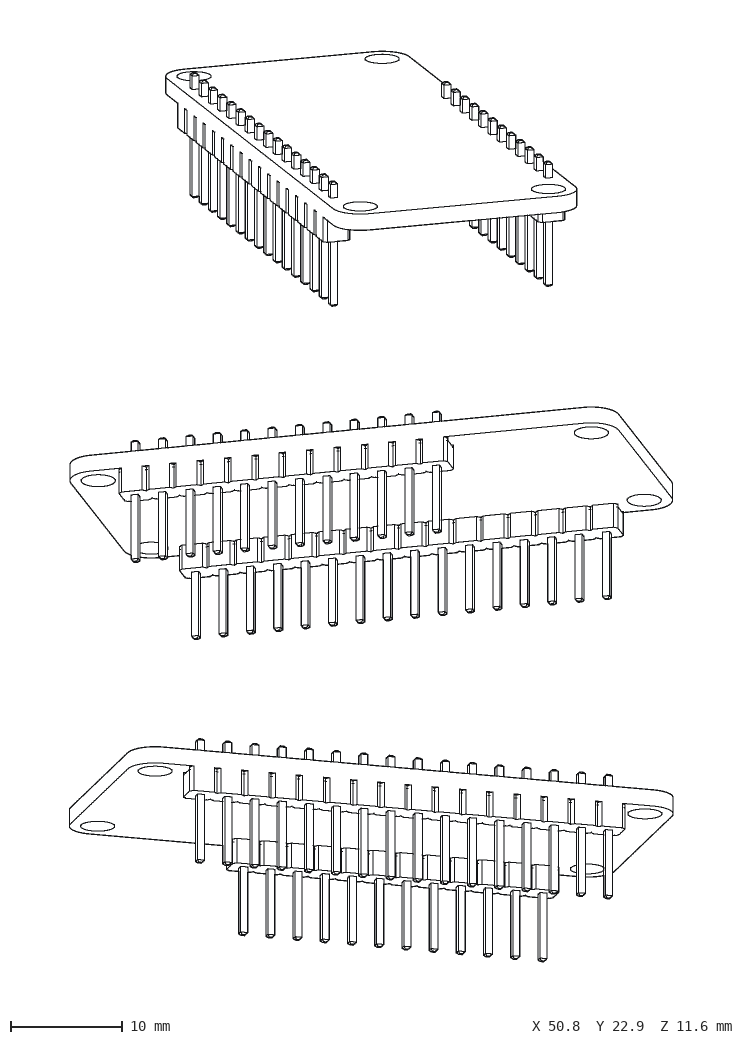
import cadquery as cq

board_length = 50.8
board_width = 22.85
board_thickness = 1.5
corner_radius = 2.55
mount_hole_diameter = 3.05

pitch = 2.55
row_offset = 10.15
front_pin_count = 16
back_pin_count = 12
last_pin_x = (front_pin_count - 1) * pitch / 2
header_height = 2.3
cell_chamfer = 0.3
channel_depth = 0.25
neck_wall = 0.025
channel_width = pitch - 2 * (cell_chamfer + neck_wall)

pin_width = 0.65
pin_length = 11.55
pin_rise = 1.4
pin_tip_chamfer = 0.18

pin_top = board_thickness + pin_rise
pin_bottom = pin_top - pin_length


def make_board():
    """Rounded plate with a mounting hole concentric with each corner."""
    plate = cq.Workplane("XY").box(
        board_length, board_width, board_thickness, centered=(True, True, False)
    )
    plate = plate.edges("|Z").fillet(corner_radius)
    hole_spacing_x = board_length - 2 * corner_radius
    hole_spacing_y = board_width - 2 * corner_radius
    return (
        plate.faces(">Z")
        .workplane()
        .rect(hole_spacing_x, hole_spacing_y, forConstruction=True)
        .vertices()
        .hole(mount_hole_diameter)
    )


def make_cell():
    """One octagonal block of a header, hanging below the board."""
    block = cq.Workplane("XY").box(pitch, pitch, header_height, centered=(True, True, False))
    return block.edges("|Z").chamfer(cell_chamfer).translate((0, 0, -header_height))


def make_pin():
    """Square pin with both ends tapered."""
    pin = cq.Workplane("XY").box(pin_width, pin_width, pin_length, centered=(True, True, False))
    return pin.faces("<Z or >Z").chamfer(pin_tip_chamfer).translate((0, 0, pin_bottom))


def make_header(pin_count, row_y):
    """Row of cells that ends at last_pin_x, with a channel under the board and a pin in each cell."""
    positions = [(last_pin_x - i * pitch, row_y, 0) for i in range(pin_count)]
    cell = make_cell()
    pin = make_pin()

    body = cell.translate(positions[0])
    for position in positions[1:]:
        body = body.union(cell.translate(position))

    row_length = pin_count * pitch
    row_center_x = last_pin_x + pitch / 2 - row_length / 2
    channel = cq.Workplane("XY").box(
        row_length, channel_width, channel_depth, centered=(True, True, False)
    )
    body = body.cut(channel.translate((row_center_x, row_y, -channel_depth)))

    for position in positions:
        body = body.union(pin.translate(position))
    return body


front_header = make_header(front_pin_count, -row_offset)
back_header = make_header(back_pin_count, row_offset)
result = make_board().union(front_header).union(back_header)